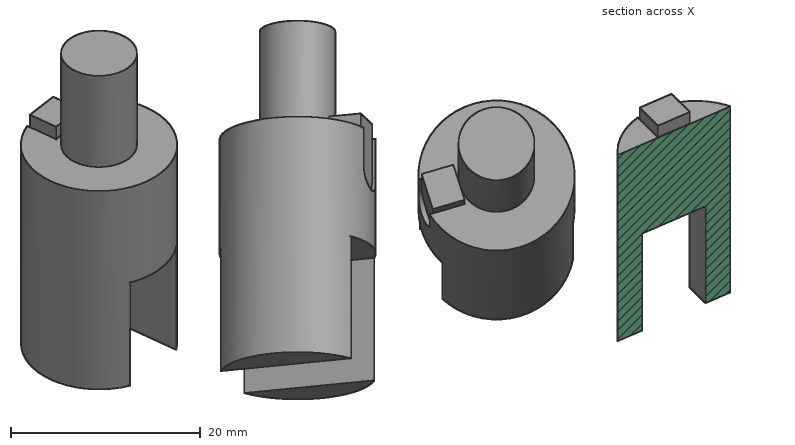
import cadquery as cq

total_height = 38.0
fork_diameter = 16.5
fork_height = 26.03

slot_width = 7.98
slot_height = 13.53

shaft_diameter = 8.0
shaft_height = total_height - fork_height

key_width = 4.03
key_length = 7.98
key_thickness = 3.5
key_outer_x = -7.65
key_top_z = 27.65

key_radius = key_width / 2
key_bottom_z = key_top_z - key_length
key_arc_z = key_bottom_z + key_radius
key_inner_x = key_outer_x + key_thickness


def key_profile(plane_x, top_z):
    """U-shaped outline in the YZ plane at plane_x, flat at top_z and round at the bottom."""
    return (
        cq.Workplane("YZ", origin=(plane_x, 0, 0))
        .moveTo(-key_radius, top_z)
        .lineTo(-key_radius, key_arc_z)
        .threePointArc((0, key_bottom_z), (key_radius, key_arc_z))
        .lineTo(key_radius, top_z)
        .close()
    )


def make_fork():
    """Cylinder with a cross slot below and a keyway open to the top and the -X side."""
    cylinder = cq.Workplane("XY").circle(fork_diameter / 2).extrude(fork_height)
    slot = cq.Workplane("XY").box(
        fork_diameter, slot_width, slot_height, centered=(True, True, False)
    )
    keyway_depth = fork_diameter / 2 + key_inner_x
    keyway = key_profile(key_inner_x, key_top_z).extrude(-keyway_depth)
    return cylinder.cut(slot).cut(keyway)


def make_shaft():
    """Plain round shaft on the top face of the fork."""
    return (
        cq.Workplane("XY", origin=(0, 0, fork_height))
        .circle(shaft_diameter / 2)
        .extrude(shaft_height)
    )


def make_key():
    """Key seated on the keyway floor, standing above the top face of the fork."""
    return key_profile(key_inner_x, key_top_z).extrude(-key_thickness)


fork = make_fork()
shaft = make_shaft()
key = make_key()

result = cq.Compound.makeCompound([fork.val(), shaft.val(), key.val()])